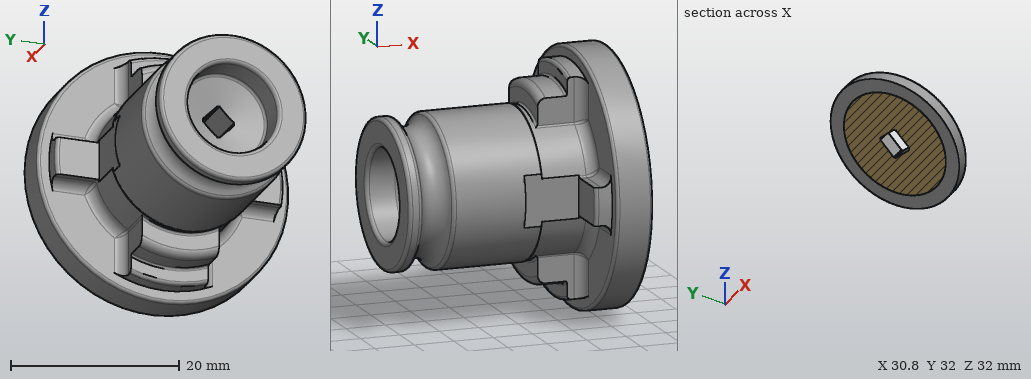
import cadquery as cq
import math

groove_center_x = 3.55
body_end_x = 17.0
lug_front_x = 17.92
wing_front_x = 21.65
flange_front_x = 23.85
flange_back_x = 28.48
disc_front_x = 29.02
overall_length = 30.8

lip_diameter = 18.65
body_diameter = 19.0
neck_diameter = 18.65
flange_diameter = 32.0
rear_neck_diameter = 14.2
disc_diameter = 17.9

groove_section_diameter = 4.0
groove_radius = groove_section_diameter / 2
groove_floor_diameter = 15.75

lug_diameter = 24.77
wing_diameter = 29.0
lug_width = 9.8
wing_width = 4.7

flat_start_x = 14.72
width_across_flats = 17.9

bore_diameter = 11.4
bore_depth = 4.03
bore_mouth_round = 0.48
bore_floor_round = 0.4
cone_half_angle = 75.0
square_side = 3.0
square_corner_diameter = 4.0

lip_round = 0.45
groove_edge_round = 0.5
body_step_round = 0.2
flange_round = 0.4
disc_round = 0.3
lug_round = 1.0
wing_round = 0.45
small_root_round = 0.3
flange_root_round = 1.3

tolerance = 0.003


def revolve_outline(outline):
    """Turn a closed (x, radius) outline about the X axis."""
    return outline.close().revolve(360, (0, 0, 0), (1, 0, 0))


def cylinder(start_x, end_x, diameter):
    """Cylinder about the X axis."""
    return cq.Workplane("YZ").workplane(offset=start_x).circle(diameter / 2).extrude(end_x - start_x)


def round_rim(solid, rim_x, rim_diameter, radius):
    """Round the circular edges of one diameter that lie at one station along X."""
    rims = [
        edge for edge in solid.edges("%CIRCLE").vals()
        if abs(edge.Center().x - rim_x) < tolerance and abs(edge.radius() - rim_diameter / 2) < tolerance
    ]
    return solid.newObject(rims).fillet(radius)


def groove_half_width(diameter):
    """Half the width of the groove where it breaks out at the given diameter."""
    center_height = groove_floor_diameter / 2 + groove_radius
    return math.sqrt(groove_radius ** 2 - (center_height - diameter / 2) ** 2)


def make_spigot():
    """Lip, round-bottomed groove and main body."""
    groove_start = groove_center_x - groove_half_width(lip_diameter)
    groove_end = groove_center_x + groove_half_width(body_diameter)
    spigot = revolve_outline(
        cq.Workplane("XY")
        .moveTo(0, 0)
        .lineTo(0, lip_diameter / 2)
        .lineTo(groove_start, lip_diameter / 2)
        .threePointArc((groove_center_x, groove_floor_diameter / 2), (groove_end, body_diameter / 2))
        .lineTo(body_end_x, body_diameter / 2)
        .lineTo(body_end_x, 0)
    )
    spigot = round_rim(spigot, 0, lip_diameter, lip_round)
    spigot = round_rim(spigot, groove_start, lip_diameter, groove_edge_round)
    spigot = round_rim(spigot, groove_end, body_diameter, groove_edge_round)
    return round_rim(spigot, body_end_x, body_diameter, body_step_round)


def make_flange():
    """Large flange with the retaining disc behind it."""
    flange = cylinder(flange_front_x, flange_back_x, flange_diameter).edges().fillet(flange_round)
    rear_neck = cylinder(flange_back_x, disc_front_x, rear_neck_diameter)
    disc = cylinder(disc_front_x, overall_length, disc_diameter).edges(">X").fillet(disc_round)
    return flange.union(rear_neck).union(disc)


def make_bar(width, plane):
    """Straight bar across the part, drawn on a plane through the X axis."""
    bar_length = flange_front_x - lug_front_x
    return (
        cq.Workplane(plane)
        .center((lug_front_x + flange_front_x) / 2, 0)
        .rect(bar_length, width)
        .extrude(flange_diameter / 2, both=True)
    )


def make_step_ring():
    """Two-step ring from which the lugs and wings are cut."""
    ring = cylinder(lug_front_x, wing_front_x, lug_diameter)
    ring = ring.union(cylinder(wing_front_x, flange_front_x, wing_diameter))
    ring = round_rim(ring, lug_front_x, lug_diameter, lug_round)
    ring = round_rim(ring, wing_front_x, lug_diameter, small_root_round)
    return round_rim(ring, wing_front_x, wing_diameter, wing_round)


def distance_from_axis(point):
    """Distance of a point from the X axis."""
    return math.hypot(point.y, point.z)


def is_neck_junction(edge):
    """True where a lug, or the side of a wing, meets the neck surface."""
    middle = edge.positionAt(0.5)
    on_neck = abs(distance_from_axis(middle) - neck_diameter / 2) < tolerance
    along_lugs = lug_front_x - tolerance < middle.x < flange_front_x - tolerance
    on_wing_front = abs(middle.x - wing_front_x) < tolerance
    return on_neck and along_lugs and not on_wing_front


def is_foot_edge(edge):
    """True where the neck or the side of a lug or wing meets the flange face."""
    box = edge.BoundingBox()
    on_face = max(abs(box.xmin - flange_front_x), abs(box.xmax - flange_front_x)) < tolerance
    inside_ring = distance_from_axis(edge.positionAt(0.5)) < wing_diameter / 2 - tolerance
    return on_face and inside_ring


def make_head():
    """Neck and flange, with lugs above and below and wings on both Y sides, blended together."""
    ring = make_step_ring()
    lugs = ring.intersect(make_bar(lug_width, "XY"))
    wings = ring.intersect(make_bar(wing_width, "XZ"))
    wings = wings.cut(cylinder(0, wing_front_x, flange_diameter))
    head = cylinder(body_end_x, flange_front_x, neck_diameter).union(lugs).union(wings)
    junctions = [edge for edge in head.edges().vals() if is_neck_junction(edge)]
    head = head.newObject(junctions).fillet(small_root_round)
    head = head.union(make_flange())
    foot = [edge for edge in head.edges().vals() if is_foot_edge(edge)]
    return head.newObject(foot).fillet(flange_root_round)


def make_side_flats():
    """Material outside the two flats that lead up to the wings."""
    flat_depth = (body_diameter - width_across_flats) / 2
    center_y = (body_diameter + width_across_flats) / 4
    flats = (
        cq.Workplane("XY")
        .pushPoints([(0, center_y), (0, -center_y)])
        .box(wing_front_x - flat_start_x, flat_depth, body_diameter)
    )
    return flats.translate(((flat_start_x + wing_front_x) / 2, 0, 0))


def make_bore():
    """Round-mouthed bore with a conical bottom and a square hole through its center."""
    bore_radius = bore_diameter / 2
    tip_x = bore_depth + bore_radius / math.tan(math.radians(cone_half_angle))
    bore = revolve_outline(
        cq.Workplane("XY")
        .moveTo(0, 0)
        .lineTo(0, bore_radius + bore_mouth_round)
        .radiusArc((bore_mouth_round, bore_radius), -bore_mouth_round)
        .lineTo(bore_depth, bore_radius)
        .lineTo(tip_x, 0)
    )
    bore = round_rim(bore, bore_depth, bore_diameter, bore_floor_round)
    square = (
        cq.Workplane("YZ")
        .transformed(rotate=(0, 0, 45))
        .rect(square_side, square_side)
        .extrude(overall_length)
        .intersect(cylinder(0, overall_length, square_corner_diameter))
    )
    return bore.union(square)


result = make_spigot().union(make_head()).cut(make_side_flats()).cut(make_bore())